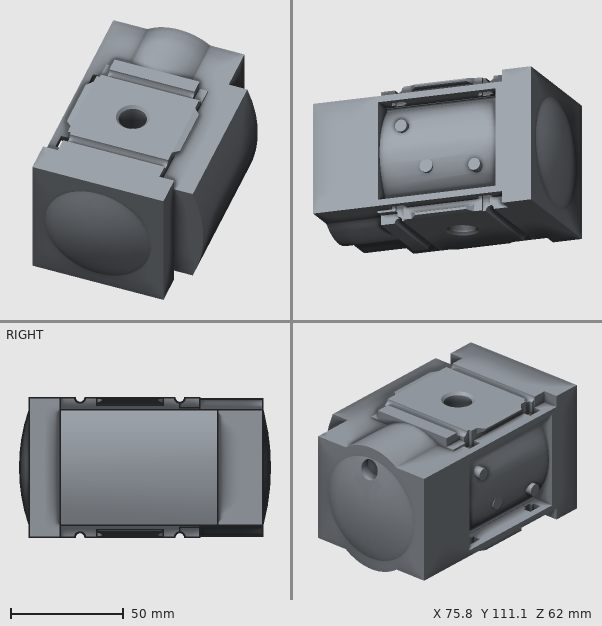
import cadquery as cq
import math


overall_width = 75.8
overall_length = 111.1
body_width = 62.0
body_length = 103.7
half_width = body_width / 2
half_height = half_width
shoulder_z = 25.5
front_block_length = 13.8

plate_half_width = 24.0
plate_rear_y = 75.8
port_y = (front_block_length + plate_rear_y) / 2
groove_radius = 2.2
groove_offset = 22.1
tab_half_gap = 20.1
tab_z = 26.5
port_diameter = 12.5
port_mouth_diameter = 15.0
port_depth = 13.3

rib_reach = 2.8
rib_root_length = 29.7
rib_x = plate_half_width + rib_reach
rib_depth = 3.3
rib_embed = 1.1
rib_top_drop = 0.5
rib_edge_drop = 1.1
rib_chin_drop = 1.8
rib_chin_inset = 0.3
rib_heel_drop = 2.5
rib_heel_reach = 0.5

hump_half_width = 14.9
hump_z = 30.4

dome_radius = 25.0
front_dome_height = 4.1
rear_dome_height = overall_length - body_length - front_dome_height
dome_hole_diameter = 9.4
dome_hole_z = 19.9
dome_hole_depth = 3.3

cover_edge_x = 39.8
cover_crown_x = overall_width - half_width
cover_rear_y = 83.6

window_front_y = 16.9
window_rear_y = 72.8
window_half_height = 22.7
window_floor_x = -21.0
drum_crown_x = -29.2
drum_half_height = 20.5
channel_radius = 0.9
channel_z = 21.5

pins = [
    (62.3, 10.9, 5.5, -30.1),
    (27.4, -11.0, 5.5, -30.1),
    (50.9, -8.5, 6.1, -28.7),
]

slot_outer_x = -27.7
slot_step_x = -23.9
slot_inner_x = -22.4
slot_wide = 7.1
slot_narrow = 3.9
slot_positions = (24.2, 65.3)


def box(x0, x1, y0, y1, z0, z1):
    """Box between two opposite corners."""
    return cq.Workplane("XY").box(x1 - x0, y1 - y0, z1 - z0, centered=False).translate((x0, y0, z0))


def xz_prism(outline, y0, y1):
    """Extrude an outline drawn on the XZ plane from y0 to y1."""
    return outline.extrude(-(y1 - y0)).translate((0, y0, 0))


def both_faces(shape):
    """The shape together with its mirror image below the XY plane."""
    return shape.union(shape.mirror("XY"))


def core():
    front = box(-half_width, half_width, 0, front_block_length, -half_height, half_height)
    return front.union(box(-half_width, half_width, 0, body_length, -shoulder_z, shoulder_z))


def hump():
    outline = (
        cq.Workplane("XZ")
        .moveTo(-hump_half_width, 0)
        .lineTo(-hump_half_width, shoulder_z)
        .threePointArc((0, hump_z), (hump_half_width, shoulder_z))
        .lineTo(hump_half_width, 0)
        .close()
    )
    return xz_prism(outline, plate_rear_y, body_length)


def cover():
    outline = (
        cq.Workplane("XZ")
        .moveTo(0, -shoulder_z)
        .lineTo(cover_edge_x, -shoulder_z)
        .threePointArc((cover_crown_x, 0), (cover_edge_x, shoulder_z))
        .lineTo(0, shoulder_z)
        .close()
    )
    return xz_prism(outline, front_block_length, cover_rear_y)


def dome(height):
    """Spherical cap rising along +Y from the XZ plane."""
    sphere_radius = (dome_radius ** 2 + height ** 2) / (2 * height)
    half_angle = math.asin(dome_radius / sphere_radius) / 2
    mid_radius = sphere_radius * math.sin(half_angle)
    mid_height = height - sphere_radius * (1 - math.cos(half_angle))
    return (
        cq.Workplane("XY")
        .lineTo(dome_radius, 0)
        .threePointArc((mid_radius, mid_height), (0, height))
        .close()
        .revolve(360, (0, 0, 0), (0, 1, 0))
    )


def rib():
    """Dovetail rib on the +X side of the top plate, with undercut flank and 45 degree ends."""
    profile = cq.Workplane("XZ").polyline([
        (plate_half_width - rib_embed, half_height),
        (plate_half_width, half_height),
        (rib_x, half_height - rib_top_drop),
        (rib_x, half_height - rib_edge_drop),
        (rib_x - rib_chin_inset, half_height - rib_chin_drop),
        (plate_half_width + rib_heel_reach, half_height - rib_heel_drop),
        (plate_half_width, half_height - rib_depth),
        (plate_half_width - rib_embed, half_height - rib_depth),
    ]).close()
    half_root = rib_root_length / 2
    bar = xz_prism(profile, port_y - half_root, port_y + half_root)
    half_tip = half_root - rib_reach
    plan = cq.Workplane("XY").polyline([
        (plate_half_width - rib_embed, port_y - half_root),
        (plate_half_width, port_y - half_root),
        (rib_x, port_y - half_tip),
        (rib_x, port_y + half_tip),
        (plate_half_width, port_y + half_root),
        (plate_half_width - rib_embed, port_y + half_root),
    ]).close().extrude(half_height)
    return bar.intersect(plan)


def port_plate():
    plate = box(-plate_half_width, plate_half_width, front_block_length, plate_rear_y, 0, half_height)
    step_front_y = port_y + groove_offset
    for side in (-1, 1):
        inner_x, outer_x = sorted((side * tab_half_gap, side * plate_half_width))
        plate = plate.cut(box(inner_x, outer_x, step_front_y, plate_rear_y, tab_z, half_height))
        groove = (
            cq.Workplane("YZ", origin=(-plate_half_width, port_y + side * groove_offset, half_height))
            .circle(groove_radius)
            .extrude(2 * plate_half_width)
        )
        plate = plate.cut(groove)
    return plate.union(rib()).union(rib().mirror("YZ"))


def port():
    bore = (
        cq.Workplane("XY", origin=(0, port_y, half_height))
        .circle(port_diameter / 2)
        .extrude(-port_depth)
    )
    mouth_depth = (port_mouth_diameter - port_diameter) / 2
    mouth = (
        cq.Workplane("XY", origin=(0, port_y, half_height))
        .circle(port_mouth_diameter / 2)
        .workplane(offset=-mouth_depth)
        .circle(port_diameter / 2)
        .loft()
    )
    return bore.union(mouth)


def latch_slots():
    """Slots that open from the shoulder down into the side window."""
    cutters = cq.Workplane("XY")
    for y in slot_positions:
        for x0, x1, width in (
            (slot_outer_x, slot_step_x, slot_wide),
            (slot_step_x, slot_inner_x, slot_narrow),
        ):
            cutters = cutters.union(
                box(x0, x1, y - width / 2, y + width / 2, window_half_height, half_height)
            )
    return cutters


def side_window():
    """Window cavity, leaving a convex drum between two small round channels."""
    cavity = box(
        -half_width, window_floor_x, window_front_y, window_rear_y,
        -window_half_height, window_half_height,
    )
    drum_outline = (
        cq.Workplane("XZ")
        .moveTo(window_floor_x, -drum_half_height)
        .threePointArc((drum_crown_x, 0), (window_floor_x, drum_half_height))
        .close()
    )
    cavity = cavity.cut(xz_prism(drum_outline, window_front_y, window_rear_y))
    for z in (-channel_z, channel_z):
        channel = cq.Workplane("XZ").center(window_floor_x, z).circle(channel_radius)
        cavity = cavity.union(xz_prism(channel, window_front_y, window_rear_y))
    return cavity


def pin(y, z, diameter, end_x):
    return (
        cq.Workplane("YZ", origin=(end_x, y, z))
        .circle(diameter / 2)
        .extrude(window_floor_x - end_x)
    )


def dome_hole():
    hole = cq.Workplane("XZ").center(0, dome_hole_z).circle(dome_hole_diameter / 2)
    return xz_prism(hole, body_length - dome_hole_depth, body_length + rear_dome_height)


result = core().union(cover())
result = result.union(both_faces(hump())).union(both_faces(port_plate()))
result = result.union(dome(front_dome_height).mirror("XZ"))
result = result.union(dome(rear_dome_height).translate((0, body_length, 0)))
result = result.cut(side_window()).cut(both_faces(latch_slots()))
result = result.cut(both_faces(port())).cut(dome_hole())
for pin_values in pins:
    result = result.union(pin(*pin_values))